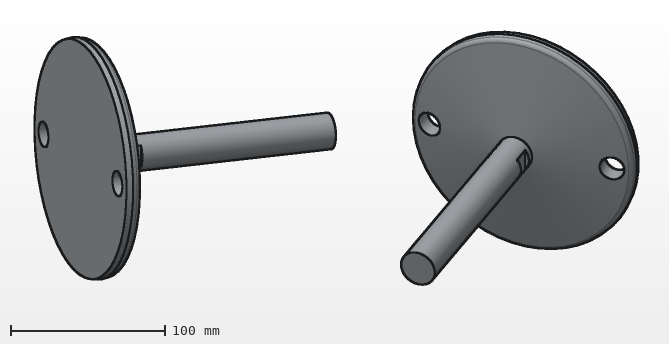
import cadquery as cq
import math

total_length = 174.0
plate_diameter = 158.0
base_diameter = 156.6
ridge_height = 4.4
rim_height = 7.3
rim_diameter = 157.0
rim_round = 3.1
cone_angle = math.radians(9.4)
stem_diameter = 24.0

flats_width = 18.8
flats_start = 26.0
flats_length = 12.5

hole_diameter = 16.5
hole_offset = 62.8
drill_reach = 20.9

stem_radius = stem_diameter / 2


def make_body():
    """Revolve the plate, its cone and the stem around the Y axis."""
    rim_radius = rim_diameter / 2
    round_center_x = rim_radius - rim_round

    def on_round(angle):
        x = round_center_x + rim_round * math.cos(angle)
        y = rim_height + rim_round * math.sin(angle)
        return (x, y)

    cone_normal = math.pi / 2 - cone_angle
    cone_foot_x, cone_foot_y = on_round(cone_normal)
    cone_top_height = cone_foot_y + (cone_foot_x - stem_radius) * math.tan(cone_angle)
    profile = (
        cq.Workplane("XY")
        .lineTo(base_diameter / 2, 0)
        .lineTo(plate_diameter / 2, ridge_height)
        .lineTo(rim_radius, rim_height)
        .threePointArc(on_round(cone_normal / 2), (cone_foot_x, cone_foot_y))
        .lineTo(stem_radius, cone_top_height)
        .lineTo(stem_radius, total_length)
        .lineTo(0, total_length)
        .close()
    )
    return profile.revolve(360, (0, 0, 0), (0, 1, 0))


def wrench_flat(side):
    """Block that cuts one flat into the stem, on the given side of X."""
    center_x = side * (flats_width / 2 + stem_radius)
    center_y = flats_start + flats_length / 2
    block = cq.Workplane("XY").box(stem_diameter, flats_length, stem_diameter)
    return block.translate((center_x, center_y, 0))


def mounting_hole(side):
    """Drill for one hole, square to the cone surface and leaning outward."""
    axis = cq.Vector(side * math.sin(cone_angle), math.cos(cone_angle), 0)
    base_center = cq.Vector(side * hole_offset, 0, 0)
    start = base_center - axis * drill_reach
    return cq.Solid.makeCylinder(hole_diameter / 2, 2 * drill_reach, start, axis)


result = make_body()
for side in (-1, 1):
    result = result.cut(wrench_flat(side))
    result = result.cut(mounting_hole(side))